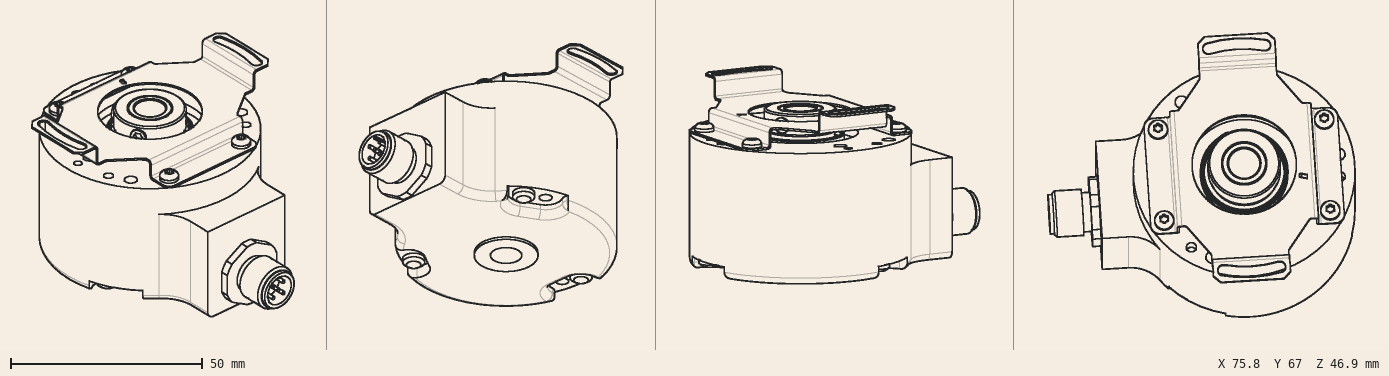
import cadquery as cq
import math

TURN = -30.0

BODY_R = 28.95
BODY_H = 35.0
BOTTOM_FILLET = 2.0
BLOCK_END = 37.95
BLOCK_HALF_W = 13.4
BLOCK_H = 27.0
BLOCK_NECK_R = 10.0
BOSS_R = 8.3
BOSS_H = 0.75

ROUNDED_NOTCH_ANGLES = (30, 150)
PLAIN_NOTCH_ANGLE = -90
NOTCH_ANGLES = (PLAIN_NOTCH_ANGLE,) + ROUNDED_NOTCH_ANGLES
NOTCH_H = 3.3
NOTCH_HALF_W = 7.35
NOTCH_FLAT_HALF_W = 2.8
NOTCH_CORNER_R = NOTCH_HALF_W - NOTCH_FLAT_HALF_W
NOTCH_INNER = 21.1
NOTCH_LIP_R = 2.3
NOTCH_LIP_START = 25.75
NOTCH_LIP_ANGLE = 45
NOTCH_SCREW_R = 2.9
NOTCH_SCREW_TIP_R = 1.9
NOTCH_SCREW_CYL_H = 1.1
NOTCH_SCREW_H = 1.9
NOTCH_SCREW_RADIUS = 25.6
HOLE_OFFSET = 7.0

BOLT_CIRCLE_R = 25.1
THROUGH_HOLE_R = 1.7
BLIND_HOLE_R = 1.3
BLIND_HOLE_DEPTH = 3.8
SPARE_ANGLE = -120
SPARE_HOLE_R = 1.05
INNER_HOLE_RADIUS = 21.0
INNER_HOLE_R = 1.7

BORE_R = 4.1
BORE_CHAMFER = 0.3
HUB_R = 9.5
HUB_TOP = 41.5
HUB_CHAMFER = 0.45
HUB_BOTTOM = 35.6
HUB_FOOT_R = 8.95
SHAFT_R = 5.9
SHAFT_GROOVE_W = 0.3
SHAFT_GROOVE_DEPTH = 0.3
GROOVE_R = 15.1
GROOVE_DEPTH = 2.5
COLLAR_R = 11.45
COLLAR_CHAMFER = 0.3
WELL_R = 10.45
WELL_DEPTH = 1.5
SET_SCREW_ANGLES = (-90, 180)
SET_SCREW_Z = 38.5
SET_SCREW_R = 2.05
SET_SCREW_TIP = 9.9
SET_SCREW_SOCKET_R = 1.2
SET_SCREW_SOCKET_DEPTH = 1.1

SHEET = 0.5
BEND_IN = 0.6
BEND_OUT = BEND_IN + SHEET
FOOT_END = 25.3
FOOT_HALF_W = 15.9
FOOT_CORNER_R = 2.3
FOOT_WALL = 18.5
PLATE_TOP = 40.5
PLATE_Z = PLATE_TOP - SHEET
PLATE_SHOULDER = 16.2
PLATE_NECK = 24.25
PLATE_CORNER_R = 0.9
PLATE_HOLE_R = 13.65
TAB_TOP = 46.15
TAB_HALF_W = 10.1
TAB_WALL = 27.1
TAB_END = 33.9
TAB_CHAMFER = 1.8
SLOT_RADIUS = 31.45
SLOT_R = 1.5
SLOT_HALF_ANGLE = 13.5
MARK_ANGLE = 135
MARK_RADIUS = 16.0
MARK_LENGTH = 2.7
MARK_WIDTH = 1.05

SCREW_ANGLES = (0, -60, 120, 180)
SCREW_R = 2.5
SCREW_FLAT_R = 1.2
SCREW_CYL_H = 0.8
SCREW_H = 2.0
DOME_BULGE = 0.64
TORX_R = 0.95
TORX_LOBES = 6
TORX_LOBE_R = 0.265
TORX_DEPTH = 1.1

PLUG_Z = 9.4
NUT_FLATS = 17.1
NUT_R = 9.1
NUT_END = 40.15
NECK_R = 5.15
SLEEVE_R = 6.05
SLEEVE_START = 42.3
SLEEVE_END = 49.9
SLEEVE_CHAMFER = 0.7
PLUG_END = 51.0
SOCKET_R = 4.1
SOCKET_DEPTH = 4.55
PIN_R = 0.45
PIN_CIRCLE_R = 2.5
PIN_ANGLES = (45, 135, 225, 315)
PIN_RECESS = 0.4
KEY_W = 0.6
KEY_H = 0.6


def turned(shape, angle):
    return shape.rotate((0, 0, 0), (0, 0, 1), angle)


def polar(radius, angle):
    return (radius * math.cos(math.radians(angle)), radius * math.sin(math.radians(angle)))


def disc(radius, bottom, height):
    return cq.Workplane("XY").workplane(offset=bottom).circle(radius).extrude(height)


def connector_block(end):
    """Block blended into the round housing by two concave arcs."""
    reach = BODY_R + BLOCK_NECK_R
    arc_y = BLOCK_HALF_W + BLOCK_NECK_R
    arc_x = math.sqrt(reach**2 - arc_y**2)
    touch_x = arc_x * BODY_R / reach
    touch_y = arc_y * BODY_R / reach
    return (
        cq.Workplane("XY")
        .moveTo(0, -touch_y)
        .lineTo(touch_x, -touch_y)
        .radiusArc((arc_x, -BLOCK_HALF_W), BLOCK_NECK_R)
        .lineTo(end, -BLOCK_HALF_W)
        .lineTo(end, BLOCK_HALF_W)
        .lineTo(arc_x, BLOCK_HALF_W)
        .radiusArc((touch_x, touch_y), BLOCK_NECK_R)
        .lineTo(0, touch_y)
        .close()
        .extrude(BLOCK_H)
    )


def rounded_notch():
    """Cutter for a pocket that widens at the rim and has a rounded bottom edge."""
    lip_angle = math.radians(NOTCH_LIP_ANGLE)
    lip_x = NOTCH_LIP_START + NOTCH_LIP_R * math.sin(lip_angle)
    lip_y = NOTCH_HALF_W + NOTCH_LIP_R * (1 - math.cos(lip_angle))
    end_x = BODY_R + NOTCH_HALF_W
    end_y = lip_y + (end_x - lip_x) * math.tan(lip_angle)
    pocket = (
        cq.Workplane("XY")
        .moveTo(end_x, -end_y)
        .lineTo(lip_x, -lip_y)
        .radiusArc((NOTCH_LIP_START, -NOTCH_HALF_W), -NOTCH_LIP_R)
        .lineTo(NOTCH_INNER + NOTCH_CORNER_R, -NOTCH_HALF_W)
        .radiusArc((NOTCH_INNER, -NOTCH_FLAT_HALF_W), NOTCH_CORNER_R)
        .lineTo(NOTCH_INNER, NOTCH_FLAT_HALF_W)
        .radiusArc((NOTCH_INNER + NOTCH_CORNER_R, NOTCH_HALF_W), NOTCH_CORNER_R)
        .lineTo(NOTCH_LIP_START, NOTCH_HALF_W)
        .radiusArc((lip_x, lip_y), -NOTCH_LIP_R)
        .lineTo(end_x, end_y)
        .close()
        .extrude(NOTCH_H)
    )
    slab = cq.Workplane("XY").box(end_x, 4 * end_y, NOTCH_H, centered=(False, True, False))
    frame = slab.cut(pocket)
    walls = cq.selectors.BoxSelector((NOTCH_INNER - 0.75, -end_y, -0.75), (end_x - 0.75, end_y, 0.75))
    return slab.cut(frame.faces("<Z").edges(walls).fillet(BOTTOM_FILLET))


def plain_notch():
    """Cutter for the same pocket with straight sides and a sharp bottom edge."""
    length = BODY_R - NOTCH_INNER + NOTCH_CORNER_R
    return (
        cq.Workplane("XY")
        .box(length, 2 * NOTCH_HALF_W, NOTCH_H, centered=(False, True, False))
        .translate((NOTCH_INNER, 0, 0))
        .edges("|Z and <X")
        .fillet(NOTCH_CORNER_R)
    )


def notch_screw():
    tip_z = NOTCH_H - NOTCH_SCREW_H
    return (
        cq.Workplane("XZ")
        .moveTo(0, NOTCH_H)
        .lineTo(NOTCH_SCREW_R, NOTCH_H)
        .lineTo(NOTCH_SCREW_R, NOTCH_H - NOTCH_SCREW_CYL_H)
        .lineTo(NOTCH_SCREW_TIP_R, tip_z)
        .lineTo(0, tip_z)
        .close()
        .revolve(360, (0, 0, 0), (0, 1, 0))
    )


def housing():
    body = disc(BODY_R, 0, BODY_H)
    body = body.union(turned(connector_block(BLOCK_END + 2 * BOTTOM_FILLET), TURN))
    body = body.faces("<Z").edges().fillet(BOTTOM_FILLET)
    for angle in ROUNDED_NOTCH_ANGLES:
        body = body.cut(turned(rounded_notch(), angle))
    body = body.cut(turned(plain_notch(), PLAIN_NOTCH_ANGLE))
    trim = cq.Workplane("XY").box(
        BLOCK_END, 4 * BLOCK_HALF_W, BODY_H, centered=(False, True, False)
    )
    body = body.cut(turned(trim.translate((BLOCK_END, 0, 0)), TURN))
    return body.union(disc(BOSS_R, -BOSS_H, 2 * BOSS_H))


def drill_top(body):
    top = cq.Workplane("XY").workplane(offset=BODY_H)
    through = [polar(BOLT_CIRCLE_R, a + HOLE_OFFSET) for a in NOTCH_ANGLES]
    blind = [polar(BOLT_CIRCLE_R, a - HOLE_OFFSET) for a in NOTCH_ANGLES]
    spare = [polar(BOLT_CIRCLE_R, SPARE_ANGLE)]
    inner = [polar(INNER_HOLE_RADIUS, SPARE_ANGLE)]
    body = body.cut(top.pushPoints(through).circle(THROUGH_HOLE_R).extrude(-BODY_H))
    for points, radius in ((blind, BLIND_HOLE_R), (spare, SPARE_HOLE_R), (inner, INNER_HOLE_R)):
        body = body.cut(top.pushPoints(points).circle(radius).extrude(-BLIND_HOLE_DEPTH))
    groove = disc(GROOVE_R, BODY_H - GROOVE_DEPTH, GROOVE_DEPTH)
    well = disc(WELL_R, BODY_H - WELL_DEPTH, WELL_DEPTH)
    collar = disc(COLLAR_R, BODY_H - GROOVE_DEPTH, GROOVE_DEPTH).cut(well)
    return body.cut(groove).union(collar.faces(">Z").edges().chamfer(COLLAR_CHAMFER))


def hub():
    part = (
        cq.Workplane("XZ")
        .moveTo(0, BODY_H - WELL_DEPTH)
        .lineTo(HUB_FOOT_R, BODY_H - WELL_DEPTH)
        .lineTo(HUB_FOOT_R, HUB_BOTTOM)
        .lineTo(HUB_R, HUB_BOTTOM + HUB_R - HUB_FOOT_R)
        .lineTo(HUB_R, HUB_TOP - HUB_CHAMFER)
        .lineTo(HUB_R - HUB_CHAMFER, HUB_TOP)
        .lineTo(0, HUB_TOP)
        .close()
        .revolve(360, (0, 0, 0), (0, 1, 0))
    )
    groove = (
        cq.Workplane("XY")
        .workplane(offset=HUB_TOP)
        .circle(SHAFT_R)
        .circle(SHAFT_R - SHAFT_GROOVE_W)
        .extrude(-SHAFT_GROOVE_DEPTH)
    )
    part = part.cut(groove)
    plane = cq.Workplane("YZ").center(0, SET_SCREW_Z)
    screw = plane.circle(SET_SCREW_R).extrude(SET_SCREW_TIP)
    socket = (
        plane.workplane(offset=SET_SCREW_TIP)
        .polygon(6, 2 * SET_SCREW_SOCKET_R)
        .extrude(-SET_SCREW_SOCKET_DEPTH)
    )
    for angle in SET_SCREW_ANGLES:
        part = part.union(turned(screw, angle)).cut(turned(socket, angle))
    return part


def bore():
    lead = (
        cq.Workplane("XY")
        .workplane(offset=HUB_TOP)
        .circle(BORE_R + BORE_CHAMFER)
        .workplane(offset=-BORE_CHAMFER)
        .circle(BORE_R)
        .loft()
    )
    return disc(BORE_R, -BOSS_H, HUB_TOP + BOSS_H).union(lead)


def joggle(start, wall, end, low, high, half_width):
    """Sheet along X stepping up from height low to height high at x = wall."""
    back = wall + SHEET
    return (
        cq.Workplane("XZ")
        .moveTo(start, low)
        .lineTo(back - BEND_OUT, low)
        .radiusArc((back, low + BEND_OUT), -BEND_OUT)
        .lineTo(back, high - BEND_IN)
        .radiusArc((back + BEND_IN, high), BEND_IN)
        .lineTo(end, high)
        .lineTo(end, high + SHEET)
        .lineTo(wall + BEND_OUT, high + SHEET)
        .radiusArc((wall, high + SHEET - BEND_OUT), -BEND_OUT)
        .lineTo(wall, low + SHEET + BEND_IN)
        .radiusArc((wall - BEND_IN, low + SHEET), BEND_IN)
        .lineTo(start, low + SHEET)
        .close()
        .extrude(half_width, both=True)
    )


def foot():
    strip = joggle(-FOOT_END, -FOOT_WALL, -PLATE_SHOULDER, BODY_H, PLATE_Z, FOOT_HALF_W)
    return strip.edges("|Z and <X").fillet(FOOT_CORNER_R)


def tab():
    start = TAB_WALL - 2 * BEND_IN
    strip = joggle(start, TAB_WALL, TAB_END, PLATE_Z, TAB_TOP - SHEET, TAB_HALF_W)
    strip = strip.edges("|Z and >X").chamfer(TAB_CHAMFER)
    near = SLOT_RADIUS - SLOT_R
    far = SLOT_RADIUS + SLOT_R
    slot = (
        cq.Workplane("XY")
        .workplane(offset=TAB_TOP - SHEET)
        .moveTo(*polar(near, -SLOT_HALF_ANGLE))
        .threePointArc((near, 0), polar(near, SLOT_HALF_ANGLE))
        .radiusArc(polar(far, SLOT_HALF_ANGLE), SLOT_R)
        .threePointArc((far, 0), polar(far, -SLOT_HALF_ANGLE))
        .radiusArc(polar(near, -SLOT_HALF_ANGLE), SLOT_R)
        .close()
        .extrude(SHEET)
    )
    return turned(strip.cut(slot), 90)


def plate():
    edge_x = FOOT_WALL - BEND_OUT
    edge_y = TAB_WALL - BEND_IN
    corner = [
        (edge_x, FOOT_HALF_W),
        (PLATE_SHOULDER, FOOT_HALF_W),
        (TAB_HALF_W, PLATE_NECK),
        (TAB_HALF_W, edge_y),
    ]
    right = [(x, -y) for x, y in reversed(corner)] + corner
    left = [(-x, -y) for x, y in right]
    outline = cq.Workplane("XY").workplane(offset=PLATE_Z).polyline(right + left).close()
    sheet = outline.extrude(SHEET)
    inside = cq.selectors.BoxSelector(
        (-edge_x + 0.75, -edge_y + 0.75, 0), (edge_x - 0.75, edge_y - 0.75, TAB_TOP)
    )
    sheet = sheet.edges("|Z").edges(inside).fillet(PLATE_CORNER_R)
    mark = (
        cq.Workplane("XY")
        .workplane(offset=PLATE_Z)
        .center(MARK_RADIUS, 0)
        .slot2D(MARK_LENGTH, MARK_WIDTH)
        .extrude(SHEET)
    )
    sheet = sheet.cut(turned(mark, MARK_ANGLE - TURN))
    return sheet.cut(disc(PLATE_HOLE_R, PLATE_Z, SHEET))


def bracket():
    part = plate()
    for angle in (0, 180):
        part = part.union(turned(foot(), angle)).union(turned(tab(), angle))
    return turned(part, TURN)


def bracket_screw():
    """Domed head with a six-lobed socket."""
    base = BODY_H + SHEET
    top = base + SCREW_H
    middle_r = SCREW_FLAT_R + (SCREW_R - SCREW_FLAT_R) * DOME_BULGE
    middle_z = top - (SCREW_H - SCREW_CYL_H) * (1 - DOME_BULGE)
    head = (
        cq.Workplane("XZ")
        .moveTo(0, base)
        .lineTo(SCREW_R, base)
        .lineTo(SCREW_R, base + SCREW_CYL_H)
        .threePointArc((middle_r, middle_z), (SCREW_FLAT_R, top))
        .lineTo(0, top)
        .close()
        .revolve(360, (0, 0, 0), (0, 1, 0))
    )
    socket = disc(TORX_R, top - TORX_DEPTH, TORX_DEPTH)
    lobes = (
        cq.Workplane("XY")
        .workplane(offset=top)
        .polarArray(TORX_R, 0, 360, TORX_LOBES)
        .circle(TORX_LOBE_R)
        .extrude(-TORX_DEPTH)
    )
    return head.cut(socket).cut(lobes)


def rod(radius, start, end):
    return cq.Workplane("YZ").workplane(offset=start).circle(radius).extrude(end - start)


def connector():
    """Plug along X about height zero, turned and raised into place at the end."""
    hexagon = (
        cq.Workplane("YZ")
        .workplane(offset=BLOCK_END)
        .polygon(6, NUT_FLATS / math.cos(math.pi / 6))
        .extrude(NUT_END - BLOCK_END)
        .rotate((0, 0, 0), (1, 0, 0), 30)
    )
    part = hexagon.intersect(rod(NUT_R, BLOCK_END, NUT_END))
    sleeve = rod(SLEEVE_R, SLEEVE_START, SLEEVE_END).faces(">X").edges().chamfer(SLEEVE_CHAMFER)
    part = part.union(rod(NECK_R, BLOCK_END, PLUG_END)).union(sleeve)
    floor = PLUG_END - SOCKET_DEPTH
    part = part.cut(rod(SOCKET_R, floor, PLUG_END))
    tip = PLUG_END - PIN_RECESS
    places = [(0, 0)] + [polar(PIN_CIRCLE_R, a) for a in PIN_ANGLES]
    pins = cq.Workplane("YZ").workplane(offset=floor).pushPoints(places).circle(PIN_R)
    part = part.union(pins.extrude(tip - floor))
    key = (
        cq.Workplane("XY")
        .box(tip - floor, KEY_W, 2 * KEY_H, centered=(False, True, True))
        .translate((floor, 0, SOCKET_R))
    )
    return turned(part.union(key).translate((0, 0, PLUG_Z)), TURN)


result = drill_top(housing()).union(hub()).union(bracket()).union(connector())
for screw_angle in SCREW_ANGLES:
    result = result.union(bracket_screw().translate((*polar(BOLT_CIRCLE_R, screw_angle), 0)))
for notch_angle in NOTCH_ANGLES:
    place = polar(NOTCH_SCREW_RADIUS, notch_angle - HOLE_OFFSET)
    result = result.union(notch_screw().translate((*place, 0)))
result = result.cut(bore())